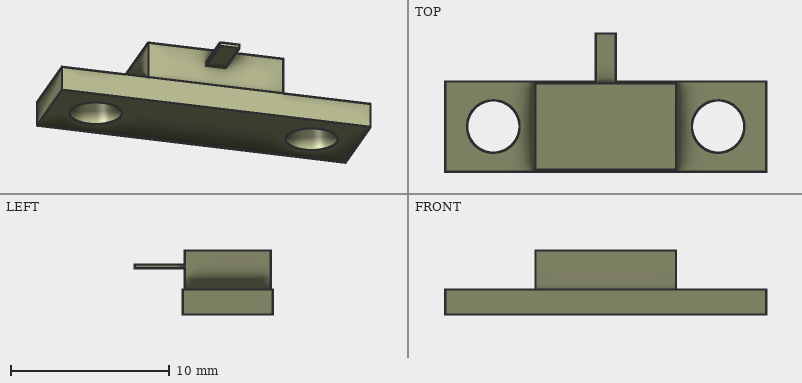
import cadquery as cq

flange_length = 20.32
flange_width = 5.72
flange_thickness = 1.6
hole_diameter = 3.3
hole_spacing = 14.22

housing_length = 8.9
housing_width = 5.46
total_height = 4.06
housing_height = total_height - flange_thickness

lead_width = 1.27
lead_thickness = 0.25
lead_bottom = 2.93
total_width = 8.76
lead_tip_y = total_width - flange_width / 2
lead_length = lead_tip_y - housing_width / 2


def make_flange():
    """Plate with one through hole near each end."""
    plate = cq.Workplane("XY").box(
        flange_length, flange_width, flange_thickness, centered=(True, True, False)
    )
    return (
        plate.faces(">Z")
        .workplane()
        .rarray(hole_spacing, 1, 2, 1)
        .hole(hole_diameter)
    )


def make_housing_with_lead():
    """Block and the lead strip that projects from its +Y face."""
    housing = (
        cq.Workplane("XY")
        .box(housing_length, housing_width, housing_height, centered=(True, True, False))
        .translate((0, 0, flange_thickness))
    )
    lead = (
        cq.Workplane("XY")
        .box(lead_width, lead_length, lead_thickness, centered=(True, False, False))
        .translate((0, housing_width / 2, lead_bottom))
    )
    return housing.union(lead)


flange = make_flange()
housing_with_lead = make_housing_with_lead()

result = cq.Compound.makeCompound([flange.val(), housing_with_lead.val()])